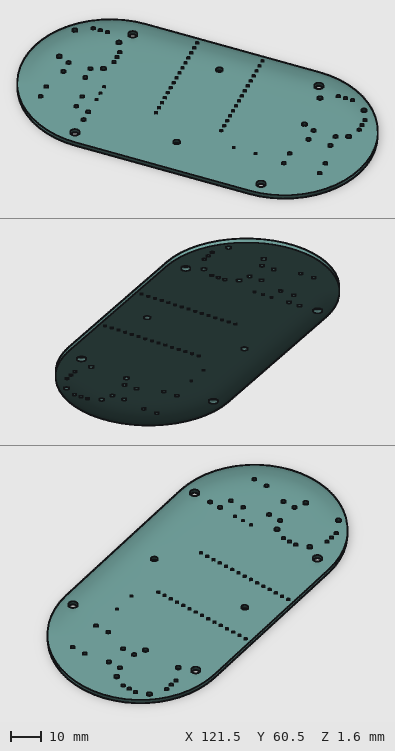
import cadquery as cq

LENGTH = 121.5
WIDTH = 60.5
THICKNESS = 1.6

MOUNT_D = 3.0
CENTRE_MOUNT_D = 2.2
MODULE_CORNER_D = 1.7
MODULE_PAD_D = 1.5
LEFT_PAIR_D = 1.5
CONNECTOR_D = 1.3
TRIPLE_D = 1.2
HEADER_D = 0.9
SMALL_ROW_D = 0.8
SMALL_PAIR_D = 0.77

MOUNT_SPACING_X = 65.1
MOUNT_SPACING_Y = 50.0
MOUNT_CENTRE_X = 0.1
MOUNT_CENTRE_Y = -0.9
CENTRE_MOUNT_X = -0.1
CENTRE_MOUNT_SPACING_Y = 36.9
CENTRE_MOUNT_Y = 0.7

HEADER_PINS = 15
HEADER_SPAN = 35.6
HEADER_SPACING = 22.8
HEADER_CENTRE_X = -0.1
HEADER_CENTRE_Y = 10.5

MODULE_SPACING = 85.7
MODULE_CENTRE_X = 0.0
MODULE_CENTRE_Y = 12.3
MODULE_CORNER_SPACING_X = 15.4
MODULE_CORNER_SPACING_Y = 13.4
MODULE_PAD_SPACING_X = 7.7
MODULE_PAD_SPACING_Y = 4.5
MODULE_PAD_DROP = 10.6
TRIPLE_PINS = 3
TRIPLE_SPAN = 5.0
TOP_TRIPLE_RISE = 9.7
SIDE_TRIPLE_OFFSET = 9.7

CONNECTOR_SPACING_X = 12.5
CONNECTOR_SPACING_Y = 5.0
LEFT_CONNECTOR = (-42.9, -11.8)
RIGHT_CONNECTOR = (42.1, -11.5)

SMALL_ROW_CENTRE = (-31.7, -5.6)
SMALL_ROW_PINS = 3
SMALL_ROW_SPAN = 6.5
LEFT_PAIR_CENTRE = (-32.1, -17.2)
LEFT_PAIR_SPACING = 4.0
RIGHT_PAIR_CENTRE = (21.9, -13.2)
RIGHT_PAIR_SPACING = 7.7


def row_x(centre, count, span):
    """Evenly spaced points along X."""
    x, y = centre
    return [(x + span * (i / (count - 1) - 0.5), y) for i in range(count)]


def row_y(centre, count, span):
    """Evenly spaced points along Y."""
    x, y = centre
    return [(x, y + span * (i / (count - 1) - 0.5)) for i in range(count)]


def rectangle(centre, spacing_x, spacing_y):
    """The four corners of a rectangle."""
    return [p for end in row_x(centre, 2, spacing_x) for p in row_y(end, 2, spacing_y)]


def drill(board, points, diameter):
    """Cut round holes through the whole board."""
    drills = cq.Workplane("XY").pushPoints(points).circle(diameter / 2).extrude(THICKNESS)
    return board.cut(drills)


def drill_module(board, centre):
    """Drill the corner holes, pads and two pin triples of one module."""
    x, y = centre
    corners = rectangle(centre, MODULE_CORNER_SPACING_X, MODULE_CORNER_SPACING_Y)
    pads = rectangle((x, y - MODULE_PAD_DROP), MODULE_PAD_SPACING_X, MODULE_PAD_SPACING_Y)
    top_triple = row_x((x, y + TOP_TRIPLE_RISE), TRIPLE_PINS, TRIPLE_SPAN)
    side_triple = row_y((x + SIDE_TRIPLE_OFFSET, y), TRIPLE_PINS, TRIPLE_SPAN)
    board = drill(board, corners, MODULE_CORNER_D)
    board = drill(board, pads, MODULE_PAD_D)
    return drill(board, top_triple + side_triple, TRIPLE_D)


result = cq.Workplane("XY").slot2D(LENGTH, WIDTH).extrude(THICKNESS)

mounts = rectangle((MOUNT_CENTRE_X, MOUNT_CENTRE_Y), MOUNT_SPACING_X, MOUNT_SPACING_Y)
result = drill(result, mounts, MOUNT_D)
result = drill(
    result,
    row_y((CENTRE_MOUNT_X, CENTRE_MOUNT_Y), 2, CENTRE_MOUNT_SPACING_Y),
    CENTRE_MOUNT_D,
)

for header in row_x((HEADER_CENTRE_X, HEADER_CENTRE_Y), 2, HEADER_SPACING):
    result = drill(result, row_y(header, HEADER_PINS, HEADER_SPAN), HEADER_D)

for module in row_x((MODULE_CENTRE_X, MODULE_CENTRE_Y), 2, MODULE_SPACING):
    result = drill_module(result, module)

for connector in (LEFT_CONNECTOR, RIGHT_CONNECTOR):
    pins = rectangle(connector, CONNECTOR_SPACING_X, CONNECTOR_SPACING_Y)
    result = drill(result, pins, CONNECTOR_D)

result = drill(result, row_y(SMALL_ROW_CENTRE, SMALL_ROW_PINS, SMALL_ROW_SPAN), SMALL_ROW_D)
result = drill(result, row_y(LEFT_PAIR_CENTRE, 2, LEFT_PAIR_SPACING), LEFT_PAIR_D)
result = drill(result, row_x(RIGHT_PAIR_CENTRE, 2, RIGHT_PAIR_SPACING), SMALL_PAIR_D)